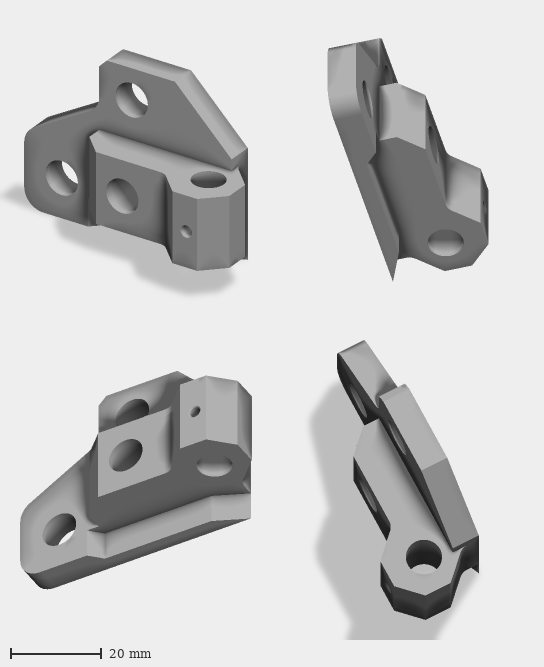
import cadquery as cq
import math

length = 61.0
depth = 21.6
height = 43.0

plate_thickness = 6.45
plate_front = depth - plate_thickness
plate_right = 54.95
step_x = 19.9
shoulder_z = 19.05
ramp_angle = 30.0
corner_radius = 5.0
small_chamfer = 2.0
large_chamfer = 15.0

block_bottom = 7.1
block_height = 18.0
block_middle_z = block_bottom + block_height / 2
block_front = 6.05
block_chamfer = 5.1
head_left = 49.3
head_side_top = 11.4
blend_radius = 3.0

mount_diameter = 8.55
plate_hole_centers = [(28.5, 35.0), (9.95, 10.05)]
arm_hole_center = (32.0, block_middle_z)
bore_diameter = 8.0
bore_x = 52.95
bore_y = 8.95
screw_diameter = 2.55
screw_mouth_diameter = 3.05
screw_chamfer = (screw_mouth_diameter - screw_diameter) / 2

relief_left = 16.95
relief_depth = step_x - relief_left
relief_slope_start = 46.9


def drill_along_y(diameter, center):
    """Round cutter parallel to Y through the full depth."""
    x, z = center
    return cq.Workplane("XZ", origin=(x, 0, z)).circle(diameter / 2).extrude(-depth)


def make_plate():
    ramp_end_z = shoulder_z + step_x * math.tan(math.radians(ramp_angle))
    outline = [
        (0, 0),
        (plate_right, 0),
        (plate_right, height - large_chamfer),
        (plate_right - large_chamfer, height),
        (step_x + small_chamfer, height),
        (step_x, height - small_chamfer),
        (step_x, ramp_end_z),
        (0, shoulder_z),
    ]
    plate = (
        cq.Workplane("XZ", origin=(0, plate_front, 0))
        .polyline(outline).close().extrude(-plate_thickness)
    )
    middle_y = plate_front + plate_thickness / 2
    for x, z in [(0, 0), (0, shoulder_z), (step_x, ramp_end_z)]:
        corner = cq.selectors.NearestToPointSelector((x, middle_y, z))
        plate = plate.edges("|Y").edges(corner).fillet(corner_radius)
    return plate


def make_block():
    arm_corner = (head_left - block_front, block_front)
    rear_corner = (plate_right, head_side_top + length - plate_right)
    outline = [
        (step_x, depth),
        (step_x, block_front + block_chamfer),
        (step_x + block_chamfer, block_front),
        arm_corner,
        (head_left, 0),
        (length - block_chamfer, 0),
        (length, block_chamfer),
        (length, head_side_top),
        rear_corner,
        (plate_right, depth),
    ]
    block = (
        cq.Workplane("XY", origin=(0, 0, block_bottom))
        .polyline(outline).close().extrude(block_height)
    )
    for x, y in [arm_corner, rear_corner]:
        corner = cq.selectors.NearestToPointSelector((x, y, block_middle_z))
        block = block.edges("|Z").edges(corner).fillet(blend_radius)
    return block


def make_relief():
    """Cutter with a 45 degree left wall, a flat floor and a right end sloping to the back face."""
    floor_y = plate_front + relief_depth
    outline = [
        (relief_left, plate_front),
        (step_x, floor_y),
        (relief_slope_start, floor_y),
        (plate_right, depth),
        (plate_right, plate_front),
    ]
    return cq.Workplane("XY").polyline(outline).close().extrude(block_bottom)


def make_clamp_bore():
    return (
        cq.Workplane("XY", origin=(bore_x, bore_y, block_bottom))
        .circle(bore_diameter / 2).extrude(block_height)
    )


def make_screw_hole():
    """Hole from the front of the head into the bore, with a chamfered mouth."""
    hole = (
        cq.Workplane("XZ", origin=(bore_x, 0, block_middle_z))
        .circle(screw_diameter / 2).extrude(-bore_y)
    )
    mouth = (
        cq.Workplane("XZ", origin=(bore_x, 0, block_middle_z))
        .circle(screw_mouth_diameter / 2).extrude(-screw_chamfer, taper=45)
    )
    return hole.union(mouth)


result = make_plate().cut(make_relief()).union(make_block())
for hole_center in plate_hole_centers + [arm_hole_center]:
    result = result.cut(drill_along_y(mount_diameter, hole_center))
result = result.cut(make_clamp_bore()).cut(make_screw_hole())